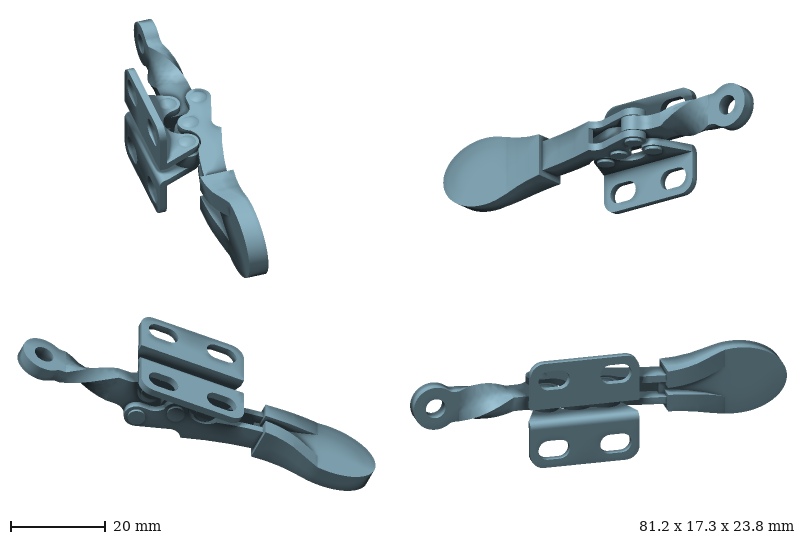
import cadquery as cq
import math


overall_length = 81.2
base_size = 23.8
sheet = 1.55
gap = 3.1
arm_thickness = gap

bend_radius = 1.5
flange_corner_radius = 3.0
slot_width = 4.3
slot_length = 6.8
slot_x = 6.7
slot_z = 7.95
upright_edge_height = 1.6
tab_radius = 2.5
notch_radius = 4.0

base_pivot_x = 6.4
base_pivot_y = 7.9
arm_pivot = (-base_pivot_x, base_pivot_y)
link_pivot = (base_pivot_x, base_pivot_y)
handle_pivot = (-base_pivot_x, 14.6)
handle_link_pivot = (0.8, 10.4)

shank_diameter = 2.5
head_diameter = 3.7
flat_head_height = 0.6
dome_height = 0.5

arm_end_radius = 2.7
link_end_radius = 3.25

arm_overhang = 23.0
eye_radius = 4.8
eye_hole_diameter = 4.3
bar_width = 6.8
bar_axis_y = 11.2
twist_start_x = -25.0
twist_end_x = -13.55
twist_angle = -90.0
neck_fillet = 1.95
arm_fillet = 3.25

base_left = -base_size / 2
eye_x = base_left - arm_overhang + eye_radius
clamp_end_x = eye_x - eye_radius + overall_length

handle_half_gap = 1.7
handle_half_width = handle_half_gap + sheet
handle_back_angle = 73.0
web_step_start = (1.7, 14.85)
web_step_mid = (3.4, 15.1)
web_start = (4.5, 16.15)
web_mid = (11.5, 14.1)
grip_start_x = 19.8
handle_top_end = (grip_start_x, 12.5)
handle_bottom_end = (grip_start_x, 7.55)
front_mid = (14.6, 8.2)
relief_right = (9.7, 9.25)
relief_top = (base_pivot_x, 10.7)
relief_left = (3.4, 9.5)
throat_mid = (-2.7, 11.3)
throat_x = -4.5

grip_flat_x = 32.8
grip_tip_x = 35.3
grip_half_width = 7.5
grip_start_half_width = 4.55
paddle_bottom_y = 8.5
paddle_top_y = 12.75
grip_bottom_y = 6.3
grip_top_y = 13.7
grip_belly = [(26.8, 6.9), (30.8, 7.95)]
belly_end_direction = (3, 1)
grip_back_x = 29.2
grip_back_mid = (25.9, 13.0)
waist_mid = (24.5, 5.1)
waist_end = (29.4, 6.4)
shoulder_start = (30.85, 6.8)
shoulder_mid = (33.0, 7.3)

grip_slot_start = 0.8
grip_slot_mid = 1.6
grip_slot_end = 3.4
slot_mid_x = 26.8
slot_floor_y = 9.4
slot_floor_mid_y = 8.8
nose_length = 1.1
nose_bottom_y = 9.7


def plate(outline, z_low, z_high):
    """Extrude an outline drawn in XY between two Z levels."""
    return outline.extrude(z_high - z_low).translate((0, 0, z_low))


def disc(centre, radius, z_low, z_high):
    return plate(cq.Workplane("XY").center(*centre).circle(radius), z_low, z_high)


def on_circle(centre, radius, degrees):
    """Point on a circle at an angle from +X."""
    angle = math.radians(degrees)
    return (centre[0] + radius * math.cos(angle), centre[1] + radius * math.sin(angle))


def direction(start, end):
    """Angle in degrees of the line from start to end."""
    return math.degrees(math.atan2(end[1] - start[1], end[0] - start[0]))


def rivet(centre, half_grip):
    """Rivet with a domed head on +Z and a flat head on -Z."""
    radius = head_diameter / 2
    sphere_radius = (radius**2 + dome_height**2) / (2 * dome_height)
    ball_z = half_grip + dome_height - sphere_radius
    ball = cq.Workplane("YZ").sphere(sphere_radius).translate((*centre, ball_z))
    dome = ball.intersect(disc(centre, sphere_radius, half_grip, half_grip + sphere_radius))
    shank = disc(centre, shank_diameter / 2, -half_grip, half_grip)
    flat_head = disc(centre, radius, -half_grip - flat_head_height, -half_grip)
    return shank.union(dome).union(flat_head)


def upright_outline():
    half = base_size / 2
    dx = half - base_pivot_x
    dy = upright_edge_height - base_pivot_y
    tangent_angle = math.degrees(math.atan2(dy, dx) + math.acos(tab_radius / math.hypot(dx, dy)))
    notch_rise = math.sqrt((tab_radius + notch_radius) ** 2 - base_pivot_x**2)
    notch_angle = 180 - math.degrees(math.asin(notch_rise / (tab_radius + notch_radius)))
    notch_bottom = (0, base_pivot_y + notch_rise - notch_radius)
    slant_end = on_circle(link_pivot, tab_radius, tangent_angle)
    tab_top = on_circle(link_pivot, tab_radius, (tangent_angle + notch_angle) / 2)
    notch_end = on_circle(link_pivot, tab_radius, notch_angle)
    return (
        cq.Workplane("XY")
        .moveTo(-half, 0)
        .lineTo(half, 0)
        .lineTo(half, upright_edge_height)
        .lineTo(*slant_end)
        .threePointArc(tab_top, notch_end)
        .threePointArc(notch_bottom, (-notch_end[0], notch_end[1]))
        .threePointArc((-tab_top[0], tab_top[1]), (-slant_end[0], slant_end[1]))
        .lineTo(-half, upright_edge_height)
        .close()
    )


def flanged_upright():
    """The +Z half of the base."""
    upright = plate(upright_outline(), gap / 2, gap / 2 + sheet)
    flange_width = base_size / 2 - gap / 2
    flange = (
        cq.Workplane("XY")
        .box(base_size, sheet, flange_width, centered=(True, False, False))
        .translate((0, 0, gap / 2))
        .edges("|Y and >Z")
        .fillet(flange_corner_radius)
    )
    slots = (
        cq.Workplane("XZ")
        .pushPoints([(-slot_x, slot_z), (slot_x, slot_z)])
        .slot2D(slot_length, slot_width)
        .extrude(-sheet)
    )
    return upright.union(flange).cut(slots)


def make_base():
    upper = flanged_upright()
    lower = flanged_upright().mirror("XY")
    bend = cq.selectors.NearestToPointSelector((0, 0, -gap / 2))
    lower = lower.edges("|X").edges(bend).fillet(bend_radius)
    base = upper.union(lower)
    for pivot in (arm_pivot, link_pivot):
        base = base.union(rivet(pivot, gap / 2 + sheet))
    return base


def make_eye():
    eye_disc = cq.Workplane("XZ").center(eye_x, 0).circle(eye_radius).extrude(arm_thickness / 2, both=True)
    neck = cq.Workplane("XY").box(
        twist_start_x - eye_x, arm_thickness, bar_width, centered=(False, True, True)
    ).translate((eye_x, 0, 0))
    corner_x = eye_x + math.sqrt(eye_radius**2 - (bar_width / 2) ** 2)
    eye = eye_disc.union(neck)
    for side in (-1, 1):
        corner = cq.selectors.NearestToPointSelector((corner_x, 0, side * bar_width / 2))
        eye = eye.edges("|Y").edges(corner).fillet(neck_fillet)
    hole = (
        cq.Workplane("XZ")
        .center(eye_x, 0)
        .circle(eye_hole_diameter / 2)
        .extrude(arm_thickness / 2, both=True)
    )
    return eye.cut(hole).translate((0, bar_axis_y, 0))


def make_twisted_bar():
    return (
        cq.Workplane("YZ", origin=(twist_start_x, bar_axis_y, 0))
        .rect(arm_thickness, bar_width)
        .twistExtrude(twist_end_x - twist_start_x, twist_angle)
    )


def fillet_centre_x(pivot, centre_y):
    """X of the fillet circle that touches the pivot circle from its -X side."""
    reach = arm_end_radius + arm_fillet
    return pivot[0] - math.sqrt(reach**2 - (centre_y - pivot[1]) ** 2)


def make_arm_end():
    upper_y = bar_axis_y + bar_width / 2
    lower_y = bar_axis_y - bar_width / 2
    upper = (fillet_centre_x(handle_pivot, upper_y + arm_fillet), upper_y + arm_fillet)
    lower = (fillet_centre_x(arm_pivot, lower_y - arm_fillet), lower_y - arm_fillet)
    upper_angle = direction(upper, handle_pivot)
    lower_angle = direction(lower, arm_pivot)
    outline = (
        cq.Workplane("XY")
        .moveTo(twist_end_x, lower_y)
        .lineTo(lower[0], lower_y)
        .threePointArc(
            on_circle(lower, arm_fillet, (90 + lower_angle) / 2),
            on_circle(lower, arm_fillet, lower_angle),
        )
        .threePointArc(
            on_circle(arm_pivot, arm_end_radius, -90),
            on_circle(arm_pivot, arm_end_radius, 0),
        )
        .lineTo(*on_circle(handle_pivot, arm_end_radius, 0))
        .threePointArc(
            on_circle(handle_pivot, arm_end_radius, 90),
            on_circle(upper, arm_fillet, upper_angle),
        )
        .threePointArc(
            on_circle(upper, arm_fillet, (upper_angle - 90) / 2),
            (upper[0], upper_y),
        )
        .lineTo(twist_end_x, upper_y)
        .close()
    )
    half = arm_thickness / 2
    end = plate(outline, -half, half)
    for pivot in (arm_pivot, handle_pivot):
        end = end.cut(disc(pivot, shank_diameter / 2, -half, half))
    return end


def make_arm():
    return make_eye().union(make_twisted_bar()).union(make_arm_end())


def make_link():
    half = arm_thickness / 2
    run = link_pivot[0] - handle_link_pivot[0]
    fall = link_pivot[1] - handle_link_pivot[1]
    slope = direction(handle_link_pivot, link_pivot)
    centre = (handle_link_pivot[0] + run / 2, handle_link_pivot[1] + fall / 2)
    length = math.hypot(run, fall) + 2 * link_end_radius
    link = plate(
        cq.Workplane("XY").center(*centre).slot2D(length, 2 * link_end_radius, slope), -half, half
    )
    for pivot in (handle_link_pivot, link_pivot):
        link = link.cut(disc(pivot, shank_diameter / 2, -half, half))
    return link


def handle_outline():
    return (
        cq.Workplane("XY")
        .moveTo(*on_circle(handle_pivot, arm_end_radius, -90))
        .threePointArc(
            on_circle(handle_pivot, arm_end_radius, 180),
            on_circle(handle_pivot, arm_end_radius, handle_back_angle),
        )
        .lineTo(*web_step_start)
        .threePointArc(web_step_mid, web_start)
        .threePointArc(web_mid, handle_top_end)
        .lineTo(*handle_bottom_end)
        .threePointArc(front_mid, relief_right)
        .threePointArc(relief_top, relief_left)
        .threePointArc(
            on_circle(handle_link_pivot, arm_end_radius, -90),
            on_circle(handle_link_pivot, arm_end_radius, 180),
        )
        .threePointArc(throat_mid, (throat_x, handle_pivot[1] - arm_end_radius))
        .close()
    )


def web_outline():
    """Side outline of the web that joins the two handle plates along their +Y edge."""
    return (
        cq.Workplane("XY")
        .moveTo(*web_start)
        .threePointArc(web_mid, handle_top_end)
        .lineTo(handle_top_end[0], handle_top_end[1] - sheet)
        .threePointArc((web_mid[0], web_mid[1] - sheet), (web_start[0], web_start[1] - sheet))
        .close()
    )


def make_channel():
    side_plate = plate(handle_outline(), handle_half_gap, handle_half_width)
    web = plate(web_outline(), -handle_half_width, handle_half_width)
    return side_plate.union(side_plate.mirror("XY")).union(web)


def make_nose():
    """Short plug at the end of the channel, in front of the grip slot."""
    nose_x = grip_start_x - nose_length
    outline = (
        cq.Workplane("XY")
        .moveTo(nose_x, nose_bottom_y)
        .lineTo(grip_start_x, slot_floor_y)
        .lineTo(*handle_top_end)
        .lineTo(nose_x, handle_top_end[1])
        .close()
    )
    return plate(outline, -handle_half_gap, handle_half_gap)


def grip_plan():
    """Outline of the grip in XZ, waisted at the channel and elliptical at the tip."""
    tip_length = clamp_end_x - grip_tip_x
    half_plan = (
        cq.Workplane("XZ")
        .moveTo(grip_start_x, 0)
        .lineTo(grip_start_x, grip_start_half_width)
        .threePointArc(waist_mid, waist_end)
        .lineTo(*shoulder_start)
        .threePointArc(shoulder_mid, (grip_tip_x, grip_half_width))
        .ellipseArc(tip_length, grip_half_width, 0, 90, startAtCurrent=True, sense=-1)
        .close()
        .extrude(-overall_length)
    )
    return half_plan.union(half_plan.mirror("XY"))


def grip_profile():
    """Outline of the grip in XY, thick at the channel and thin at the paddle."""
    belly = [*grip_belly, (grip_flat_x, paddle_bottom_y)]
    return (
        cq.Workplane("XY")
        .moveTo(grip_start_x, grip_bottom_y)
        .spline(belly, tangents=[(1, 0), belly_end_direction], includeCurrent=True)
        .lineTo(clamp_end_x, paddle_bottom_y)
        .lineTo(clamp_end_x, paddle_top_y)
        .lineTo(grip_back_x, paddle_top_y)
        .threePointArc(grip_back_mid, (grip_start_x, grip_top_y))
        .close()
    )


def grip_slot():
    """Slot in the -Y side that flares in Z and runs out level with the paddle."""
    flare = (
        cq.Workplane("XZ")
        .moveTo(grip_start_x, grip_slot_start)
        .threePointArc((slot_mid_x, grip_slot_mid), (grip_flat_x, grip_slot_end))
        .lineTo(grip_flat_x, -grip_slot_end)
        .threePointArc((slot_mid_x, -grip_slot_mid), (grip_start_x, -grip_slot_start))
        .close()
        .extrude(-paddle_top_y)
    )
    depth = (
        cq.Workplane("XY")
        .moveTo(grip_start_x, 0)
        .lineTo(grip_flat_x, 0)
        .lineTo(grip_flat_x, paddle_bottom_y)
        .threePointArc((slot_mid_x, slot_floor_mid_y), (grip_start_x, slot_floor_y))
        .close()
    )
    return flare.intersect(plate(depth, -grip_half_width, grip_half_width))


def make_grip():
    plan = grip_plan()
    profile = plate(grip_profile(), -2 * grip_half_width, 2 * grip_half_width)
    return plan.intersect(profile).cut(grip_slot())


def make_handle():
    handle = make_channel().union(make_nose()).union(make_grip())
    for pivot in (handle_pivot, handle_link_pivot):
        handle = handle.union(rivet(pivot, handle_half_width))
    return handle


base = make_base()
arm = make_arm()
link = make_link()
handle = make_handle()

result = cq.Compound.makeCompound([base.val(), arm.val(), link.val(), handle.val()])